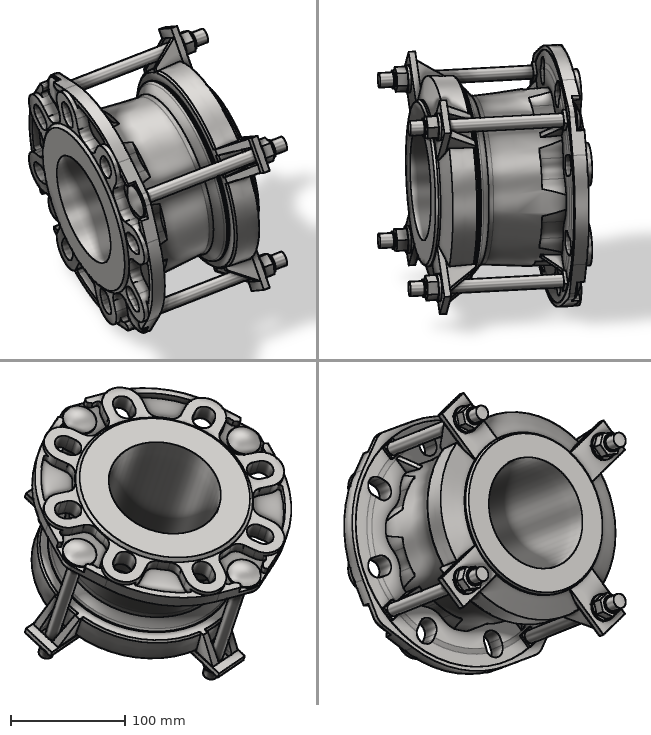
import cadquery as cq
import math


bore_dia = 100.0
body_root_radius = 79.5
body_neck_radius = 74.0
gasket_radius = 79.0
gasket_face_radius = 76.0
neck_start = 84.5
neck_end = 88.6
neck_flare = 1.0
flare_end = 95.0
flare_radius = 82.2
lip_radius = 84.0
lip_start = 97.0
lip_end = 98.5
lip_back = 99.5

flange_radius = 114.5
flange_front = 7.0
flange_rim_back = 19.5
flange_back = 20.8
lug_front = 2.7
back_step = 0.5
back_step_radius = 99.5
back_rim_radius = 110.8
back_pad_radius = 94.5
slot_radius = 9.2
slot_inner_center = 89.8
lug_radius = 18.8
lug_root = 64.1
lug_center = flange_radius - lug_radius
lug_count = 8

pocket_floor = 14.0
pocket_outer_radius = 109.0
pocket_inner = 79.7
pocket_corner_radius = 2.3
pocket_root_radius = 10.3
root_ring_radius = 87.0
bolt_seat_half = 15.8
bolt_opening_offset = 4.1
bolt_opening_round = 2.3

recess_top = 41.7
recess_crest = 75.8
recess_bend = 73.3
recess_floor = 71.5
recess_crest_offset = 21.5
recess_bend_offset = 9.2

bolt_count = 4
bolt_circle_radius = 103.7
bolt_boss_radius = 16.5
rod_dia = 12.0
thread_dia = 13.0
total_length = 159.0
thread_start = 147.0
dome_dia = 30.0
dome_rim = 1.5
dome_height = 5.0
square_neck_side = 13.3
square_neck_back = 23.0
washer_dia = 24.0
washer_thickness = 2.5
nut_across_corners = 22.0
nut_back = 144.5
collar_dia = 16.0
collar_thickness = 0.7

ring_front = 100.8
ring_edge = 102.5
ring_shoulder = 124.1
ring_cone_back = 131.2
cap_edge = 133.0
ring_back = 135.5
ring_front_radius = 90.7
ring_edge_radius = 92.5
ring_radius = 93.5
cap_radius = 73.0
cap_face_radius = 71.5
ear_half_width = 16.3
ear_reach = 121.8
ear_front = 126.5
ear_back = 132.4
ear_inner = 68.7
web_reach = 113.4
web_half_width = 15.8
web_foot = 94.0
web_gap_half_front = 10.0
web_gap_half_back = 8.0

rib_thickness = 4.5
rib_top = 40.0
rib_top_reach = 77.2
rib_foot_reach = 94.5
rib_root = 57.2


def cross_plane(y):
    """Workplane across the pipe axis at height y, extruding toward +Y."""
    return cq.Workplane(cq.Plane(origin=(0, y, 0), xDir=(1, 0, 0), normal=(0, 1, 0)))


def disc(radius, y_start, y_end, reach=0):
    """Cylinder along Y, its axis at a distance reach from the pipe axis."""
    return cross_plane(y_start).center(reach, 0).circle(radius).extrude(y_end - y_start)


def block(x_start, x_end, half_width, y_start, y_end):
    """Box from x_start to x_end, centred on Z = 0."""
    box = cq.Workplane("XY").box(
        x_end - x_start, y_end - y_start, 2 * half_width, centered=(False, False, True)
    )
    return box.translate((x_start, y_start, 0))


def revolved(profile):
    """Solid of revolution about the pipe axis from (radius, y) points."""
    return cq.Workplane("XY").polyline(profile).close().revolve(360, (0, 0, 0), (0, 1, 0))


def turned(shape, angle):
    return shape.rotate((0, 0, 0), (0, 1, 0), angle)


def around(shape, count, first_angle):
    """Copies of a shape made along +X, spaced evenly about the pipe axis."""
    copies = cq.Workplane("XY")
    for i in range(count):
        copies = copies.add(turned(shape, first_angle + i * 360 / count))
    return copies.combine()


def polar(radius, angle):
    return (radius * math.cos(angle), radius * math.sin(angle))


def flange_plate():
    """Disc with a tangent, rounded corner around each bolt."""
    spread = math.acos((flange_radius - bolt_boss_radius) / bolt_circle_radius)
    step = 2 * math.pi / bolt_count
    outline = cross_plane(flange_front).moveTo(*polar(flange_radius, step / 2 - spread))
    for i in range(bolt_count):
        angle = (i + 0.5) * step
        center_x, center_y = polar(bolt_circle_radius, angle)
        start_x, start_y = polar(bolt_boss_radius, angle - spread)
        end_x, end_y = polar(bolt_boss_radius, angle + spread)
        outline = (
            outline.lineTo(center_x + start_x, center_y + start_y)
            .threePointArc(
                polar(bolt_circle_radius + bolt_boss_radius, angle),
                (center_x + end_x, center_y + end_y),
            )
            .lineTo(*polar(flange_radius, angle + spread))
            .threePointArc(
                polar(flange_radius, angle + step / 2),
                polar(flange_radius, angle + step - spread),
            )
        )
    return outline.close().extrude(flange_rim_back - flange_front)


def back_pad():
    """Low stepped pad on the back of the flange."""
    return revolved(
        [
            (0, flange_rim_back),
            (back_rim_radius, flange_rim_back),
            (back_rim_radius, flange_rim_back + back_step),
            (back_step_radius, flange_rim_back + back_step),
            (back_pad_radius, flange_back),
            (0, flange_back),
        ]
    )


def sleeve():
    """Body with the gasket face in front and the flared sealing end at the back."""
    return revolved(
        [
            (0, 0),
            (gasket_face_radius, 0),
            (gasket_radius, lug_front),
            (gasket_radius, flange_back),
            (body_root_radius, flange_back),
            (body_neck_radius, neck_start),
            (body_neck_radius + neck_flare, neck_end),
            (flare_radius, flare_end),
            (lip_radius, lip_start),
            (lip_radius, lip_end),
            (flare_radius, lip_back),
            (flare_radius, ring_edge),
            (0, ring_edge),
        ]
    )


def lug():
    """Round-ended pad around one bolt slot."""
    pad = block(lug_root, lug_center, lug_radius, lug_front, flange_rim_back)
    return pad.union(disc(lug_radius, lug_front, flange_rim_back, lug_center))


def slot():
    length = lug_center - slot_inner_center + 2 * slot_radius
    middle = (lug_center + slot_inner_center) / 2
    return cross_plane(0).center(middle, 0).slot2D(length, 2 * slot_radius).extrude(flange_back)


def pocket():
    """Hollow between two neighbouring lugs, open toward the flange face."""
    half_step = math.pi / lug_count
    far = 2 * flange_radius
    wedge = (
        cross_plane(lug_front)
        .polyline([(0, 0), polar(far, half_step), polar(far, -half_step)])
        .close()
        .extrude(pocket_floor - lug_front)
    )
    hollow = wedge.intersect(disc(pocket_outer_radius, lug_front, pocket_floor))
    hollow = hollow.cut(disc(pocket_inner, lug_front, pocket_floor))
    for side in (-1, 1):
        hollow = hollow.cut(turned(lug(), side * math.degrees(half_step)))
    root_limit = (pocket_inner + slot_inner_center) / 2
    rim_limit = (lug_center + pocket_outer_radius) / 2
    root_corners = cq.selectors.BoxSelector((0, 0, -far), (root_limit, far, far))
    rim_corners = cq.selectors.BoxSelector((rim_limit, 0, -far), (far, far, far))
    hollow = hollow.edges("|Y").edges(root_corners).fillet(pocket_root_radius)
    return hollow.edges("|Y").edges(rim_corners).fillet(pocket_corner_radius)


def bolt_seat():
    """Square seat under a bolt head, its outer corner open through the flange rim."""
    seat = bolt_seat_half
    opening = -bolt_opening_offset
    outside = 2 * bolt_boss_radius
    outline = [
        (-seat, -seat),
        (seat, -seat),
        (seat, opening),
        (outside, opening),
        (outside, outside),
        (opening, outside),
        (opening, seat),
        (-seat, seat),
    ]
    hollow = cross_plane(flange_front).polyline(outline).close().extrude(pocket_floor - flange_front)
    for corner in ((seat, pocket_floor, -opening), (opening, pocket_floor, -seat)):
        corner_edge = cq.selectors.NearestToPointSelector(corner)
        hollow = hollow.edges("|Y").edges(corner_edge).fillet(bolt_opening_round)
    return turned(hollow, -45).translate((bolt_circle_radius, 0, 0))


def wrench_recess():
    """Scoop in the sleeve behind a slot: a hollow between two low swells."""
    outer_offset = 2 * recess_crest_offset - recess_bend_offset
    return (
        cross_plane(flange_back)
        .moveTo(slot_inner_center, -outer_offset)
        .lineTo(recess_bend, -outer_offset)
        .threePointArc((recess_crest, -recess_crest_offset), (recess_bend, -recess_bend_offset))
        .threePointArc((recess_floor, 0), (recess_bend, recess_bend_offset))
        .threePointArc((recess_crest, recess_crest_offset), (recess_bend, outer_offset))
        .lineTo(slot_inner_center, outer_offset)
        .close()
        .extrude(recess_top - flange_back)
    )


def rib():
    """Triangular rib standing on the flange behind a bolt."""
    return (
        cq.Workplane("XY")
        .polyline(
            [
                (rib_root, flange_rim_back),
                (rib_foot_reach, flange_rim_back),
                (rib_foot_reach, flange_back),
                (rib_top_reach, rib_top),
                (rib_root, rib_top),
            ]
        )
        .close()
        .extrude(rib_thickness / 2, both=True)
    )


def clamping_ring():
    return revolved(
        [
            (0, ring_front),
            (ring_front_radius, ring_front),
            (ring_edge_radius, ring_edge),
            (ring_radius, ring_shoulder),
            (cap_radius, ring_cone_back),
            (cap_radius, cap_edge),
            (cap_face_radius, ring_back),
            (0, ring_back),
        ]
    )


def ear():
    """Slotted bolt plate on the ring, carried by two webs that thicken toward it."""
    plate = block(ear_inner, ear_reach, ear_half_width, ear_front, ear_back)
    webs = (
        cq.Workplane("XY")
        .polyline(
            [
                (ear_inner, ring_front),
                (web_foot, ring_front),
                (web_reach, ear_front),
                (ear_inner, ear_front),
            ]
        )
        .close()
        .extrude(web_half_width, both=True)
    )
    gap = (
        cq.Workplane("YZ")
        .polyline(
            [
                (ring_front, -web_gap_half_front),
                (ear_front, -web_gap_half_back),
                (ear_front, web_gap_half_back),
                (ring_front, web_gap_half_front),
            ]
        )
        .close()
        .extrude(ear_reach)
    )
    opening_start = 2 * bolt_circle_radius - web_reach
    bolt_opening = block(opening_start, web_reach, web_gap_half_back, ear_front, ear_back)
    return plate.cut(bolt_opening).union(webs.cut(gap))


def tie_bolt():
    """Round-headed bolt with square neck, washer, nut and end collar."""
    reach = bolt_circle_radius
    dome_radius = ((dome_dia / 2) ** 2 + dome_height**2) / (2 * dome_height)
    dome = (
        cq.Workplane("XY")
        .moveTo(0, pocket_floor)
        .lineTo(dome_dia / 2, pocket_floor)
        .lineTo(dome_dia / 2, pocket_floor - dome_rim)
        .radiusArc((0, pocket_floor - dome_rim - dome_height), dome_radius)
        .close()
        .revolve(360, (0, 0, 0), (0, 1, 0))
        .translate((reach, 0, 0))
    )
    neck = block(
        reach - square_neck_side / 2,
        reach + square_neck_side / 2,
        square_neck_side / 2,
        pocket_floor,
        square_neck_back,
    )
    washer_back = ear_back + washer_thickness
    nut = (
        cross_plane(washer_back)
        .center(reach, 0)
        .transformed(rotate=(0, 0, 30))
        .polygon(6, nut_across_corners)
        .extrude(nut_back - washer_back)
    )
    return (
        dome.union(neck)
        .union(disc(rod_dia / 2, pocket_floor, thread_start, reach))
        .union(disc(washer_dia / 2, ear_back, washer_back, reach))
        .union(nut)
        .union(disc(collar_dia / 2, thread_start - collar_thickness, thread_start, reach))
        .union(disc(thread_dia / 2, thread_start, total_length, reach))
    )


slot_angle = 180 / lug_count
bolt_angle = 180 / bolt_count

flange = flange_plate().union(back_pad()).union(sleeve())
flange = flange.union(disc(root_ring_radius, lug_front, flange_front))
flange = flange.cut(around(pocket(), lug_count, 0))
flange = flange.cut(around(bolt_seat(), bolt_count, bolt_angle))
flange = flange.union(around(lug(), lug_count, slot_angle))

body = flange.cut(around(slot(), lug_count, slot_angle))
body = body.cut(around(wrench_recess(), lug_count, slot_angle))
body = body.union(around(rib(), bolt_count, bolt_angle))
body = body.union(clamping_ring()).union(around(ear(), bolt_count, bolt_angle))
body = body.union(around(tie_bolt(), bolt_count, bolt_angle))
result = body.cut(disc(bore_dia / 2, 0, total_length))